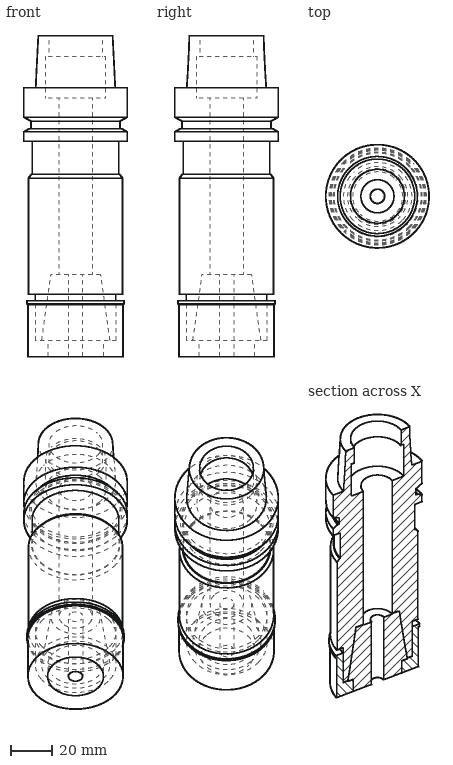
import cadquery as cq
import math


total_length = 155.0
shank_length = 25.0
flange_length = 26.0
flange_top = total_length - shank_length
flange_bottom = flange_top - flange_length

shank_base_radius = 38.5 / 2
shank_tip_radius = 36.0 / 2

flange_radius = 50.0 / 2
groove_radius = 43.0 / 2
groove_wall_angle = 30.0
groove_wall_slope = math.tan(math.radians(groove_wall_angle))
groove_step_width = 0.9
groove_step_radius = groove_radius + groove_step_width
groove_upper_wall_height = (flange_radius - groove_radius) * groove_wall_slope
groove_lower_wall_height = (flange_radius - groove_step_radius) * groove_wall_slope
groove_top_depth = 14.3
groove_mouth_height = 7.1
groove_top = flange_top - groove_top_depth
groove_bottom = groove_top - groove_mouth_height

neck_radius = 42.0 / 2
body_radius = 45.5 / 2
body_top = 88.15
body_bottom = 30.2
body_chamfer_height = 1.9
body_chamfer_width = 1.4

thread_radius = 39.0 / 2

nut_radius = 46.0 / 2
collar_radius = 47.0 / 2
nut_length = 27.2
collar_bottom = 25.6
nut_lip_height = 8.0
nut_opening_radius = 27.0 / 2

collet_bore_radius = 6.8 / 2
collet_mouth_radius = 33.0 / 2
collet_taper_angle = 8.0
collet_length = 40.0
collet_taper_length = collet_length - nut_lip_height
collet_back_radius = collet_mouth_radius - collet_taper_length * math.tan(math.radians(collet_taper_angle))

passage_radius = 16.0 / 2
shank_bore_radius = 26.0 / 2
shank_lip_depth = 10.0
clamp_recess_radius = 29.0 / 2
clamp_recess_depth = 30.0


def turned(profile):
    """Revolve a closed (radius, height) profile around the Z axis."""
    return cq.Workplane("XZ").polyline(profile).close().revolve(360, (0, 0, 0), (0, 1, 0))


def make_holder():
    shank_and_flange = [
        (shank_tip_radius, total_length),
        (shank_base_radius, flange_top),
        (flange_radius, flange_top),
        (flange_radius, groove_top),
        (groove_radius, groove_top - groove_upper_wall_height),
        (groove_radius, groove_bottom + groove_lower_wall_height),
        (groove_step_radius, groove_bottom + groove_lower_wall_height),
        (flange_radius, groove_bottom),
        (flange_radius, flange_bottom),
    ]
    neck_and_body = [
        (neck_radius, flange_bottom),
        (neck_radius, body_top),
        (body_radius - body_chamfer_width, body_top),
        (body_radius, body_top - body_chamfer_height),
        (body_radius, body_bottom),
        (thread_radius, body_bottom),
        (thread_radius, nut_lip_height),
    ]
    inside = [
        (collet_mouth_radius, nut_lip_height),
        (collet_back_radius, collet_length),
        (passage_radius, collet_length),
        (passage_radius, total_length - clamp_recess_depth),
        (clamp_recess_radius, total_length - clamp_recess_depth),
        (clamp_recess_radius, total_length - shank_lip_depth),
        (shank_bore_radius, total_length - shank_lip_depth),
        (shank_bore_radius, total_length),
    ]
    return turned(shank_and_flange + neck_and_body + inside)


def make_nut():
    collar_slope_end = collar_bottom - (collar_radius - nut_radius)
    return turned([
        (nut_opening_radius, 0),
        (nut_radius, 0),
        (nut_radius, collar_slope_end),
        (collar_radius, collar_bottom),
        (collar_radius, nut_length),
        (thread_radius, nut_length),
        (thread_radius, nut_lip_height),
        (nut_opening_radius, nut_lip_height),
    ])


def make_collet():
    return turned([
        (collet_bore_radius, 0),
        (nut_opening_radius, 0),
        (nut_opening_radius, nut_lip_height),
        (collet_mouth_radius, nut_lip_height),
        (collet_back_radius, collet_length),
        (collet_bore_radius, collet_length),
    ])


holder = make_holder()
nut = make_nut()
collet = make_collet()

result = cq.Compound.makeCompound([holder.val(), nut.val(), collet.val()])